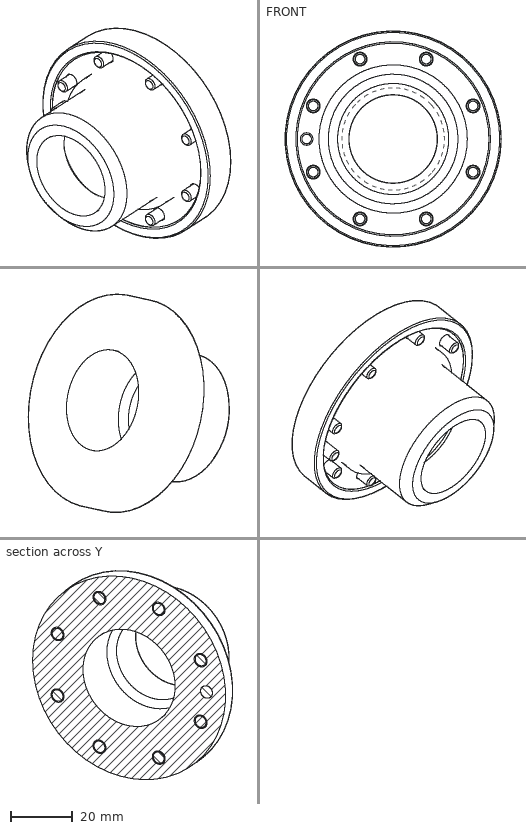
import cadquery as cq
import math

flange_radius = 35.0
flange_thickness = 12.0
back_edge_fillet = 1.5
rim_chamfer = 0.5

pocket_radius = 31.5
pocket_floor_depth = 8.0
pocket_corner_fillet = 0.5
lip_height = 0.5

boss_radius = 24.0
boss_depth = 14.0
tube_radius = 21.0
tube_depth = 40.0
tip_chamfer = 3.0
hub_fillet = 1.0

bore_radius = 14.3
back_bore_radius = 16.6
bore_step_depth = 26.0

pin_circle_radius = 28.0
pin_radius = 2.0
pin_chamfer = 0.5
pin_seat = 3.0
ring_pin_count = 8
ring_pin_depth = 13.0
ring_pin_clearance = 0.2
key_pin_depth = boss_depth
key_pin_angle = 180.0

pin_start_depth = pocket_floor_depth - pin_seat
pin_pitch = 360.0 / ring_pin_count
ring_pin_angles = [pin_pitch * (i + 0.5) for i in range(ring_pin_count)]


def cylinder(radius, start_depth, end_depth, x=0.0, z=0.0):
    """Cylinder along Y between two depths, its axis through (x, z)."""
    return (
        cq.Workplane("XZ", origin=(x, -start_depth, z))
        .circle(radius)
        .extrude(end_depth - start_depth)
    )


def pin_cylinder(radius, end_depth, angle):
    """Cylinder on the pin circle, starting at the bottom of the pin sockets."""
    turn = math.radians(angle)
    x = pin_circle_radius * math.cos(turn)
    z = pin_circle_radius * math.sin(turn)
    return cylinder(radius, pin_start_depth, end_depth, x, z)


def revolve_about_y(profile):
    return profile.close().revolve(360, (0, 0, 0), (0, 1, 0))


def make_flange_blank():
    blank = cylinder(flange_radius, 0, flange_thickness)
    blank = blank.faces(">Y").edges().fillet(back_edge_fillet)
    return blank.faces("<Y").edges().chamfer(rim_chamfer)


def make_pocket():
    """Cavity of the flange pocket, pinched at its mouth by the V-shaped lip."""
    lip_radius = pocket_radius - lip_height
    lip_depth = flange_thickness - lip_height
    cavity = revolve_about_y(
        cq.Workplane("XY")
        .moveTo(0, -flange_thickness)
        .lineTo(pocket_radius, -flange_thickness)
        .lineTo(lip_radius, -lip_depth)
        .lineTo(pocket_radius, -(lip_depth - lip_height))
        .lineTo(pocket_radius, -pocket_floor_depth)
        .lineTo(0, -pocket_floor_depth)
    )
    return cavity.faces(">Y").edges().fillet(pocket_corner_fillet)


def make_hub():
    """Boss and tube, without the bore."""
    boss = cylinder(boss_radius, 0, boss_depth)
    boss = boss.faces("<Y").edges().fillet(hub_fillet)
    tube = cylinder(tube_radius, 0, tube_depth)
    tube = tube.faces("<Y").edges().chamfer(tip_chamfer)
    return boss.union(tube)


def fillet_circle(body, radius, depth):
    """Round the circular edge of the given radius that lies at the given depth."""
    tolerance = 0.001
    edges = [
        edge
        for edge in body.edges("%CIRCLE").vals()
        if abs(edge.radius() - radius) < tolerance and abs(edge.Center().y + depth) < tolerance
    ]
    return body.newObject(edges).fillet(hub_fillet)


def make_bore():
    """Through bore that widens at 45 degrees toward the back face."""
    cone_end_depth = bore_step_depth - (back_bore_radius - bore_radius)
    return revolve_about_y(
        cq.Workplane("XY")
        .moveTo(0, 0)
        .lineTo(back_bore_radius, 0)
        .lineTo(back_bore_radius, -cone_end_depth)
        .lineTo(bore_radius, -bore_step_depth)
        .lineTo(bore_radius, -tube_depth)
        .lineTo(0, -tube_depth)
    )


def make_flanged_hub():
    body = make_flange_blank().cut(make_pocket()).union(make_hub())
    body = fillet_circle(body, boss_radius, pocket_floor_depth)
    body = fillet_circle(body, tube_radius, boss_depth)
    body = body.cut(make_bore())
    for angle in ring_pin_angles:
        body = body.cut(pin_cylinder(pin_radius + ring_pin_clearance, pocket_floor_depth, angle))
    return body.cut(pin_cylinder(pin_radius, pocket_floor_depth, key_pin_angle))


def make_pin(end_depth, angle):
    pin = pin_cylinder(pin_radius, end_depth, angle)
    return pin.faces("<Y").edges().chamfer(pin_chamfer)


flanged_hub = make_flanged_hub()
key_pin = make_pin(key_pin_depth, key_pin_angle)
ring_pins = [make_pin(ring_pin_depth, angle).val() for angle in ring_pin_angles]

result = cq.Compound.makeCompound([flanged_hub.val(), key_pin.val(), *ring_pins])